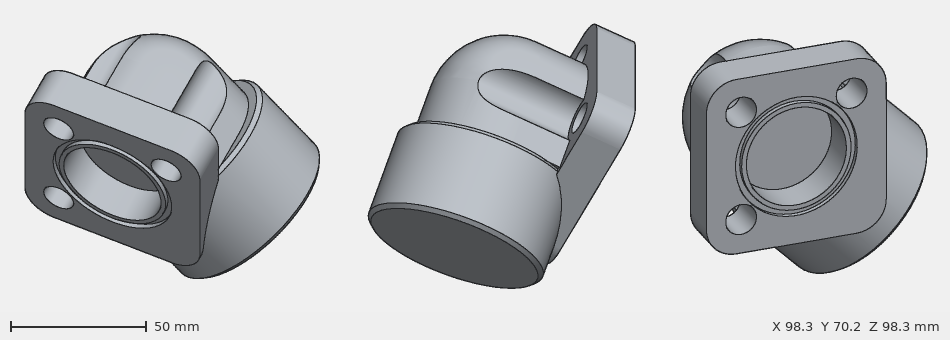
import cadquery as cq
import math

flange_side = 71.4
flange_thickness = 16.0
flange_corner_radius = 11.9

body_radius = 28.8
elbow_y = 36.0

collar_radius = 34.2
collar_start = 19.9
collar_end = 55.9
collar_chamfer = 1.6

bolt_offset = 21.9
bolt_hole_radius = 6.1
bolt_clearance_radius = 9.0
bolt_corners = [(-1, 1), (1, 1), (-1, -1)]

bore_radius = 19.9
bore_depth = 14.7
groove_inner_radius = 21.7
groove_outer_radius = 24.2
groove_depth = 2.0

inlet_direction = cq.Vector(0, 1, 0)
outlet_angle = 45
outlet_direction = cq.Vector(math.cos(math.radians(outlet_angle)), 0, -math.sin(math.radians(outlet_angle)))
elbow_centre = cq.Vector(0, elbow_y, 0)


def inlet_cylinder(radius, start_y, end_y, x=0, z=0):
    """Cylinder parallel to the inlet axis between two Y positions."""
    return cq.Workplane(
        cq.Solid.makeCylinder(radius, end_y - start_y, cq.Vector(x, start_y, z), inlet_direction)
    )


def outlet_cylinder(radius, start, end):
    """Cylinder on the outlet axis between two distances from the elbow centre."""
    base = elbow_centre + outlet_direction * start
    return cq.Workplane(cq.Solid.makeCylinder(radius, end - start, base, outlet_direction))


def make_flange():
    plate = cq.Workplane("XY").box(
        flange_side, flange_thickness, flange_side, centered=(True, False, True)
    )
    return plate.edges("|Y").fillet(flange_corner_radius)


def make_body():
    ball = cq.Workplane("XY").sphere(body_radius).translate(elbow_centre.toTuple())
    inlet_neck = inlet_cylinder(body_radius, 0, elbow_y)
    outlet_neck = outlet_cylinder(body_radius, 0, collar_end - collar_chamfer)
    filler = (
        cq.Workplane("XY")
        .box(collar_start, elbow_y, 2 * body_radius, centered=(False, False, True))
        .rotate((0, 0, 0), inlet_direction.toTuple(), outlet_angle)
    )
    return inlet_neck.union(filler).union(ball).union(outlet_neck)


def make_collar():
    return outlet_cylinder(collar_radius, collar_start, collar_end).edges().chamfer(collar_chamfer)


def make_seal_groove():
    outer = inlet_cylinder(groove_outer_radius, 0, groove_depth)
    return outer.cut(inlet_cylinder(groove_inner_radius, 0, groove_depth))


body = make_body()
bolt_holes = []
clearance_end = elbow_y + body_radius
for side_x, side_z in bolt_corners:
    x = side_x * bolt_offset
    z = side_z * bolt_offset
    body = body.cut(inlet_cylinder(bolt_clearance_radius, 0, clearance_end, x, z))
    bolt_holes.append(inlet_cylinder(bolt_hole_radius, 0, flange_thickness, x, z))

result = make_flange().union(body).union(make_collar())
for hole in bolt_holes:
    result = result.cut(hole)
result = result.cut(inlet_cylinder(bore_radius, 0, bore_depth)).cut(make_seal_groove())